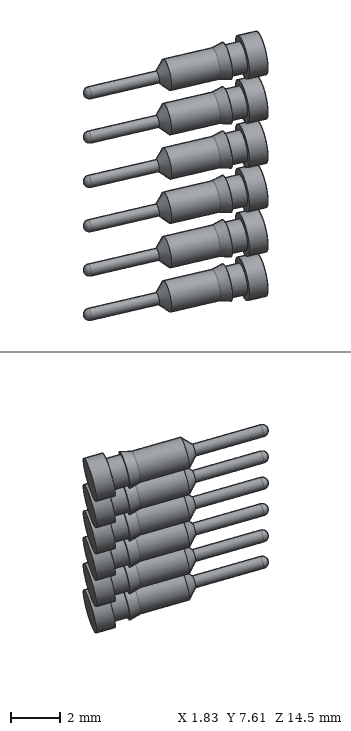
import cadquery as cq
import math

PIN_COUNT = 6
ROW_HEIGHT = 14.53

HEAD_DIAMETER = 1.83
BARREL_DIAMETER = 1.32
BARB_DIAMETER = 1.57
TAIL_DIAMETER = 0.51

PIN_LENGTH = 7.61
HEAD_LENGTH = 0.8
NECK_LENGTH = 0.68
BARB_LENGTH = 0.48
BARREL_LENGTH = 2.09
SHOULDER_LENGTH = 0.39

head_radius = HEAD_DIAMETER / 2
barrel_radius = BARREL_DIAMETER / 2
barb_radius = BARB_DIAMETER / 2
tail_radius = TAIL_DIAMETER / 2

head_y = -HEAD_LENGTH
barb_start_y = head_y - NECK_LENGTH
barb_end_y = barb_start_y - BARB_LENGTH
shoulder_start_y = barb_end_y - BARREL_LENGTH
shoulder_end_y = shoulder_start_y - SHOULDER_LENGTH
tip_y = -PIN_LENGTH
tip_start_y = tip_y + tail_radius

pin_pitch = (ROW_HEIGHT - HEAD_DIAMETER) / (PIN_COUNT - 1)


def make_pin(center_z):
    """One pin turned about its axis along Y; profile points are (position along Y, radius)."""
    tip_arc_offset = tail_radius * math.sin(math.radians(45))
    profile = (
        cq.Workplane("YZ")
        .moveTo(0, 0)
        .lineTo(0, head_radius)
        .lineTo(head_y, head_radius)
        .lineTo(head_y, barrel_radius)
        .lineTo(barb_start_y, barrel_radius)
        .lineTo(barb_start_y, barb_radius)
        .lineTo(barb_end_y, barrel_radius)
        .lineTo(shoulder_start_y, barrel_radius)
        .lineTo(shoulder_end_y, tail_radius)
        .lineTo(tip_start_y, tail_radius)
        .threePointArc((tip_start_y - tip_arc_offset, tip_arc_offset), (tip_y, 0))
        .close()
    )
    pin = profile.revolve(360, (0, 0, 0), (1, 0, 0))
    return pin.translate((0, 0, center_z))


lowest_pin_z = -pin_pitch * (PIN_COUNT - 1) / 2
pins = [make_pin(lowest_pin_z + index * pin_pitch) for index in range(PIN_COUNT)]

result = cq.Compound.makeCompound([pin.val() for pin in pins])